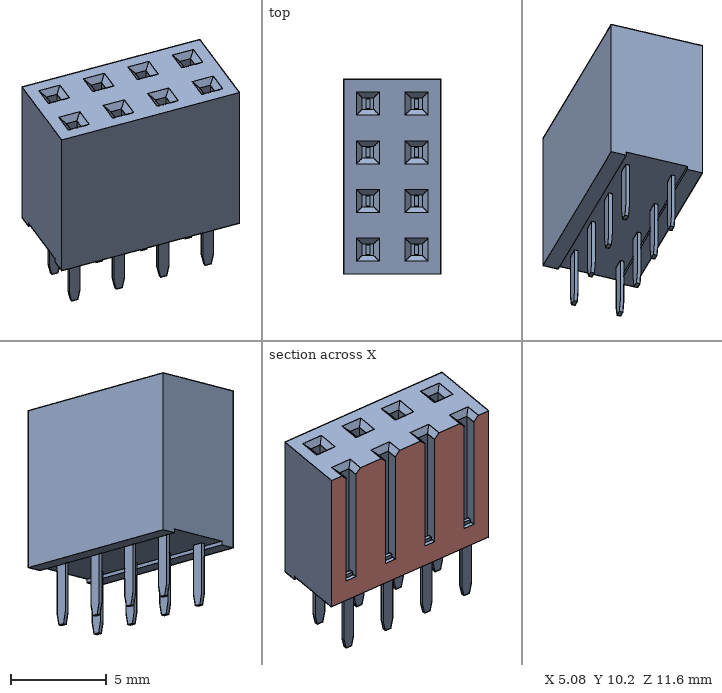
import cadquery as cq

pitch = 2.54
columns = 2
rows = 4

housing_x = columns * pitch
housing_y = rows * pitch
housing_height = 8.5
channel_width = 3.4
channel_depth = 0.2

socket_mouth = 1.2
socket_hole = 0.6
funnel_depth = (socket_mouth - socket_hole) / 2
socket_depth = 7.0
socket_floor_z = housing_height - socket_depth

pin_thickness = 0.2
pin_width = 0.62
pin_length = 3.1
pin_tip_width = 0.35
pin_taper_length = 0.62
contact_tip_width = 0.5
contact_tip_height = 0.2

contact_centers = [
    ((column - (columns - 1) / 2) * pitch, (row - (rows - 1) / 2) * pitch)
    for column in range(columns)
    for row in range(rows)
]


def make_housing():
    """Block with a shallow channel along Y that leaves a foot on each side."""
    block = cq.Workplane("XY").box(housing_x, housing_y, housing_height, centered=(True, True, False))
    channel = cq.Workplane("XY").box(channel_width, housing_y, channel_depth, centered=(True, True, False))
    return block.cut(channel)


def make_socket():
    """Empty space of one socket, centred on the Z axis."""
    funnel = (
        cq.Workplane("XY", origin=(0, 0, housing_height))
        .rect(socket_mouth, socket_mouth)
        .workplane(offset=-funnel_depth)
        .rect(socket_hole, socket_hole)
        .loft(ruled=True)
    )
    hole = (
        cq.Workplane("XY", origin=(0, 0, socket_floor_z))
        .rect(socket_hole, socket_hole)
        .extrude(socket_depth - funnel_depth)
    )
    return funnel.union(hole)


def make_pin():
    """Flat tail with a tapered end, running up to the socket floor."""
    taper_start_z = pin_taper_length - pin_length
    return (
        cq.Workplane("YZ")
        .moveTo(-pin_width / 2, socket_floor_z)
        .lineTo(-pin_width / 2, taper_start_z)
        .lineTo(-pin_tip_width / 2, -pin_length)
        .lineTo(pin_tip_width / 2, -pin_length)
        .lineTo(pin_width / 2, taper_start_z)
        .lineTo(pin_width / 2, socket_floor_z)
        .close()
        .extrude(pin_thickness / 2, both=True)
    )


def make_contact_tip():
    """Narrow end of the contact that stands on the socket floor."""
    return (
        cq.Workplane("XY", origin=(0, 0, socket_floor_z))
        .rect(pin_thickness, contact_tip_width)
        .extrude(contact_tip_height)
    )


result = make_housing()
socket = make_socket()
pin = make_pin()
contact_tip = make_contact_tip()
for x, y in contact_centers:
    position = (x, y, 0)
    result = result.cut(socket.translate(position))
    result = result.union(pin.translate(position))
    result = result.union(contact_tip.translate(position))